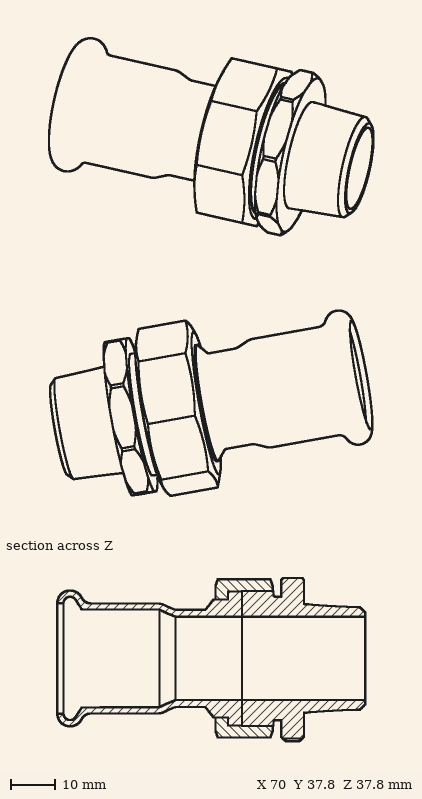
import cadquery as cq
import math

TOTAL_LENGTH = 70.0
BORE_RADIUS = 9.45

WALL = 1.5
SOCKET_RADIUS = 12.5
BEAD_RADIUS = 2.95
BEAD_BLEND_RADIUS = 2.3
GROOVE_CONE_TILT = 58.0
GROOVE_CONE_ROUND = 0.5
TAPER_START = 23.5
TAPER_END = 26.9
TAPER_ROUND = 2.0
NECK_RADIUS = 11.05
FLARE_START = 33.6
FLARE_END = 35.55
FLARE_ROUND = 0.5
COLLAR_RADIUS = 13.45

NUT_START = 35.9
NUT_LENGTH = 13.1
NUT_APOTHEM = 18.0
NUT_FACE_RADIUS = 16.45
NUT_CHAMFER_TILT = 20.0
NUT_LIP = 2.8
FLANGE_RADIUS = 15.25
TAIL_END = 42.0
NUT_END = NUT_START + NUT_LENGTH

SHOULDER_RADIUS = 14.1
SHOULDER_FILLET = 0.4
SHOULDER_STEP = NUT_END + 0.15
WRENCH_START = 50.9
WRENCH_LENGTH = 5.2
WRENCH_CORNER_RADIUS = 19.0
WRENCH_CORNER_WIDTH = 0.8
WRENCH_CHAMFER = 1.1
WRENCH_ROTATION = 30.0
THREAD_START_RADIUS = 12.4
THREAD_END_RADIUS = 11.7
THREAD_CHAMFER = 1.25

SIDES = 8
AXIS_START = (0, 0, 0)
AXIS_END = (1, 0, 0)


def turned(profile):
    """Revolve a closed (x, radius) profile about the X axis."""
    return profile.close().revolve(360, AXIS_START, AXIS_END)


def turned_points(points):
    return turned(cq.Workplane("XZ").polyline(points))


def round_edge(body, x, radius, fillet):
    """Fillet the circular edge of the given radius at position x."""
    edges = [
        edge
        for edge in body.val().Edges()
        if edge.geomType() == "CIRCLE"
        and math.isclose(edge.Center().x, x, abs_tol=0.001)
        and math.isclose(edge.radius(), radius, abs_tol=0.001)
    ]
    return body.newObject(edges).fillet(fillet)


def octagon_bar(start, length, apothem, rotation):
    """Octagonal bar along X, with flats facing Y and Z before it is rotated."""
    bar = (
        cq.Workplane("YZ", origin=(start, 0, 0))
        .polygon(SIDES, 2 * apothem, circumscribed=True)
        .extrude(length)
    )
    return bar.rotate(AXIS_START, AXIS_END, rotation)


def make_tail():
    reach = BEAD_RADIUS + BEAD_BLEND_RADIUS
    blend_angle = math.asin(BEAD_BLEND_RADIUS / reach)
    blend_end = BEAD_RADIUS + reach * math.cos(blend_angle)
    blend_start = (
        BEAD_RADIUS + BEAD_RADIUS * math.cos(blend_angle),
        SOCKET_RADIUS + BEAD_RADIUS * math.sin(blend_angle),
    )
    blend_turn = (math.pi / 2 + blend_angle) / 2
    blend_middle = (
        blend_end - BEAD_BLEND_RADIUS * math.cos(blend_turn),
        SOCKET_RADIUS + BEAD_BLEND_RADIUS * (1 - math.sin(blend_turn)),
    )

    groove_radius = BEAD_RADIUS - WALL
    cone_tilt = math.radians(GROOVE_CONE_TILT)
    groove_end = (
        BEAD_RADIUS + groove_radius * math.sin(cone_tilt),
        SOCKET_RADIUS + groove_radius * math.cos(cone_tilt),
    )
    socket_bore = SOCKET_RADIUS - WALL
    cone_end = groove_end[0] + (groove_end[1] - socket_bore) / math.tan(cone_tilt)

    taper_angle = math.atan2(SOCKET_RADIUS - NECK_RADIUS, TAPER_END - TAPER_START)
    bore_taper_start = TAPER_START - WALL * math.tan(taper_angle / 2)
    bore_taper_end = bore_taper_start + (socket_bore - BORE_RADIUS) / math.tan(taper_angle)

    lip_end = NUT_START + NUT_LIP
    tail = turned(
        cq.Workplane("XZ")
        .moveTo(0, SOCKET_RADIUS)
        .threePointArc((BEAD_RADIUS, SOCKET_RADIUS + BEAD_RADIUS), blend_start)
        .threePointArc(blend_middle, (blend_end, SOCKET_RADIUS))
        .lineTo(TAPER_START, SOCKET_RADIUS)
        .lineTo(TAPER_END, NECK_RADIUS)
        .lineTo(FLARE_START, NECK_RADIUS)
        .lineTo(FLARE_END, COLLAR_RADIUS)
        .lineTo(lip_end, COLLAR_RADIUS)
        .lineTo(lip_end, FLANGE_RADIUS)
        .lineTo(TAIL_END, FLANGE_RADIUS)
        .lineTo(TAIL_END, BORE_RADIUS)
        .lineTo(bore_taper_end, BORE_RADIUS)
        .lineTo(bore_taper_start, socket_bore)
        .lineTo(cone_end, socket_bore)
        .lineTo(*groove_end)
        .threePointArc((BEAD_RADIUS, SOCKET_RADIUS + groove_radius), (WALL, SOCKET_RADIUS))
    )
    tail = round_edge(tail, cone_end, socket_bore, GROOVE_CONE_ROUND)
    tail = round_edge(tail, TAPER_START, SOCKET_RADIUS, TAPER_ROUND)
    tail = round_edge(tail, TAPER_END, NECK_RADIUS, TAPER_ROUND)
    return round_edge(tail, FLARE_START, NECK_RADIUS, FLARE_ROUND)


def make_nut():
    corner_radius = NUT_APOTHEM / math.cos(math.pi / SIDES)
    chamfer_depth = (corner_radius - NUT_FACE_RADIUS) * math.tan(math.radians(NUT_CHAMFER_TILT))
    envelope = turned_points(
        [
            (NUT_START, 0),
            (NUT_START, NUT_FACE_RADIUS),
            (NUT_START + chamfer_depth, corner_radius),
            (NUT_END - chamfer_depth, corner_radius),
            (NUT_END, NUT_FACE_RADIUS),
            (NUT_END, 0),
        ]
    )
    lip_end = NUT_START + NUT_LIP
    bore = turned_points(
        [
            (NUT_START, 0),
            (NUT_START, COLLAR_RADIUS),
            (lip_end, COLLAR_RADIUS),
            (lip_end, FLANGE_RADIUS),
            (NUT_END, FLANGE_RADIUS),
            (NUT_END, 0),
        ]
    )
    octagon = octagon_bar(NUT_START, NUT_LENGTH, NUT_APOTHEM, 0)
    return octagon.intersect(envelope).cut(bore)


def make_wrench_flange():
    """Octagonal flange with its corners turned round and chamfered."""
    disc = (
        cq.Workplane("YZ", origin=(WRENCH_START, 0, 0))
        .circle(WRENCH_CORNER_RADIUS)
        .extrude(WRENCH_LENGTH)
        .edges()
        .chamfer(WRENCH_CHAMFER)
    )
    strip_half_angle = math.asin(WRENCH_CORNER_WIDTH / 2 / WRENCH_CORNER_RADIUS)
    apothem = WRENCH_CORNER_RADIUS * math.cos(math.pi / SIDES - strip_half_angle)
    return octagon_bar(WRENCH_START, WRENCH_LENGTH, apothem, WRENCH_ROTATION).intersect(disc)


def make_nipple():
    wrench_end = WRENCH_START + WRENCH_LENGTH
    thread_end = TOTAL_LENGTH - THREAD_CHAMFER
    core = turned_points(
        [
            (TAIL_END, 0),
            (TAIL_END, FLANGE_RADIUS),
            (SHOULDER_STEP, FLANGE_RADIUS),
            (SHOULDER_STEP, SHOULDER_RADIUS),
            (WRENCH_START, SHOULDER_RADIUS),
            (wrench_end, THREAD_START_RADIUS),
            (thread_end, THREAD_END_RADIUS),
            (TOTAL_LENGTH, THREAD_END_RADIUS - THREAD_CHAMFER),
            (TOTAL_LENGTH, 0),
        ]
    )
    core = round_edge(core, SHOULDER_STEP, SHOULDER_RADIUS, SHOULDER_FILLET)
    bore = (
        cq.Workplane("YZ", origin=(TAIL_END, 0, 0))
        .circle(BORE_RADIUS)
        .extrude(TOTAL_LENGTH - TAIL_END)
    )
    return core.union(make_wrench_flange()).cut(bore)


tail = make_tail()
nut = make_nut()
nipple = make_nipple()
result = cq.Compound.makeCompound([tail.val(), nut.val(), nipple.val()])